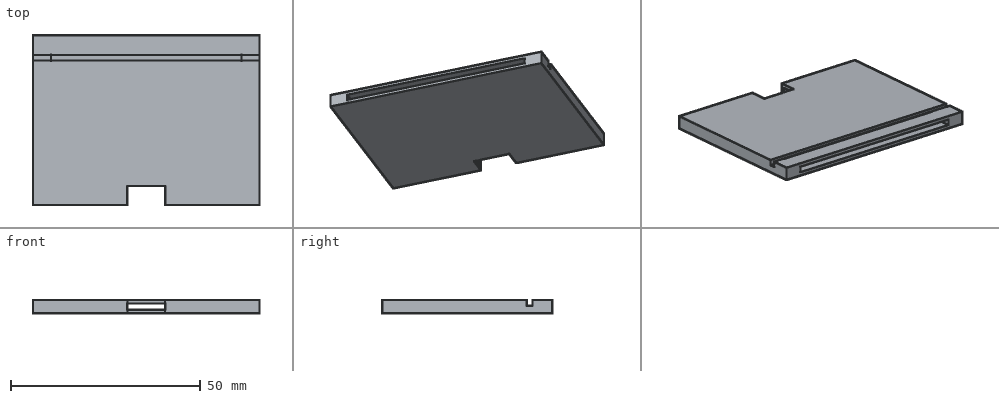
import cadquery as cq

LENGTH = 60.0
WIDTH = 45.0
SKIN = 1.0
POCKET_HEIGHT = 1.56
THICKNESS = 2 * SKIN + POCKET_HEIGHT

SIDE_WALL = 4.75
FRONT_WALL = 1.0
POCKET_LENGTH = LENGTH - 2 * SIDE_WALL
POCKET_WIDTH = WIDTH - FRONT_WALL

NOTCH_LENGTH = 10.0
NOTCH_WIDTH = 5.0

GROOVE_WIDTH = 1.5
GROOVE_DEPTH = 1.5
GROOVE_SETBACK = 5.25

FRONT_Y = -WIDTH / 2
BACK_Y = WIDTH / 2


def block(length, front_y, width, bottom_z, height):
    """Box centred on X, with its -Y face and its underside at the given places."""
    box = cq.Workplane("XY").box(length, width, height, centered=(True, False, False))
    return box.translate((0, front_y, bottom_z))


plate = block(LENGTH, FRONT_Y, WIDTH, 0, THICKNESS)

pocket = block(POCKET_LENGTH, FRONT_Y + FRONT_WALL, POCKET_WIDTH, SKIN, POCKET_HEIGHT)

notch = block(NOTCH_LENGTH, FRONT_Y, NOTCH_WIDTH, 0, THICKNESS)

groove_front_y = BACK_Y - GROOVE_SETBACK - GROOVE_WIDTH
groove = block(LENGTH, groove_front_y, GROOVE_WIDTH, THICKNESS - GROOVE_DEPTH, GROOVE_DEPTH)

result = plate.cut(pocket).cut(notch).cut(groove)